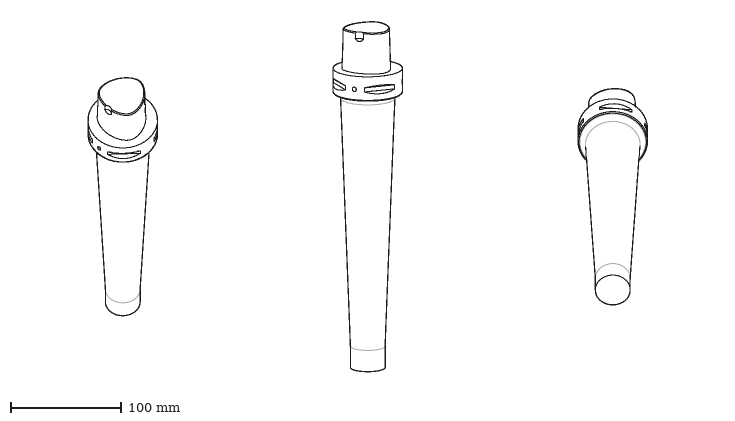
import cadquery as cq
import math

total_length = 318.0
shank_length = 38.0
flange_diameter = 63.0
flange_thickness = 23.0
flange_top = total_length - shank_length
flange_bottom = flange_top - flange_thickness

shank_base_diameter = 44.1
shank_taper = 1 / 20
lobe_height = 1.4
shank_edge_chamfer = 1.0
outline_points = 48

flange_bottom_chamfer = 1.0
neck_top_diameter = 49.5
neck_fillet_radius = 5.0
tip_diameter = 31.7
tip_length = 20.0

gripper_height = 267.7
slot_count = 4
slot_first_angle = 45.0
slot_floor_distance = 27.8
slot_floor_width = 3.8
slot_side_angle = 30.0
slot_overrun = 1.0
mark_diameter = 4.0
mark_depth = mark_diameter / 2

notch_diameter = 10.0
notch_axis_distance = 22.5
notch_depth = 6.1
notch_cone_height = notch_diameter / 2


def shank_section(diameter, height):
    """Closed three-lobed outline of constant width, with one lobe toward +Y.

    Offsetting it only changes its diameter, so tapered sections share this formula.
    """
    radius = diameter / 2
    points = []
    for step in range(outline_points):
        angle = 2 * math.pi * step / outline_points
        along_lobe = radius * math.cos(angle) + lobe_height * (2 * math.cos(2 * angle) - math.cos(4 * angle))
        across_lobe = radius * math.sin(angle) - lobe_height * (2 * math.sin(2 * angle) + math.sin(4 * angle))
        points.append(cq.Vector(-across_lobe, along_lobe, height))
    return cq.Wire.assembleEdges([cq.Edge.makeSpline(points, periodic=True)])


def polygon_shank():
    """Tapered shank with its top edge chamfered, as ruled sections."""
    chamfer_start = total_length - shank_edge_chamfer
    chamfer_diameter = shank_base_diameter - shank_taper * (chamfer_start - flange_top)
    top_diameter = chamfer_diameter - 2 * shank_edge_chamfer
    sections = [
        shank_section(shank_base_diameter, flange_top),
        shank_section(chamfer_diameter, chamfer_start),
        shank_section(top_diameter, total_length),
    ]
    return cq.Workplane(cq.Solid.makeLoft(sections, True))


def flange_and_neck():
    """Turned body: straight tip, tapered neck, fillet and flange with a chamfered lower edge."""
    flange_radius = flange_diameter / 2
    neck_radius = neck_top_diameter / 2
    fillet_bottom = flange_bottom - neck_fillet_radius
    fillet_center = (neck_radius + neck_fillet_radius, fillet_bottom)
    fillet_reach = neck_fillet_radius * math.sqrt(0.5)
    fillet_middle = (fillet_center[0] - fillet_reach, fillet_center[1] + fillet_reach)
    return (
        cq.Workplane("XZ")
        .lineTo(tip_diameter / 2, 0)
        .lineTo(tip_diameter / 2, tip_length)
        .lineTo(neck_radius, fillet_bottom)
        .threePointArc(fillet_middle, (fillet_center[0], flange_bottom))
        .lineTo(flange_radius - flange_bottom_chamfer, flange_bottom)
        .lineTo(flange_radius, flange_bottom + flange_bottom_chamfer)
        .lineTo(flange_radius, flange_top)
        .lineTo(0, flange_top)
        .close()
        .revolve(360, (0, 0, 0), (0, 1, 0))
    )


def gripper_slot(angle):
    """Straight slot across the flange, opening outward from a flat floor."""
    outer_distance = flange_diameter / 2 + slot_overrun
    half_floor = slot_floor_width / 2
    half_mouth = half_floor + (outer_distance - slot_floor_distance) * math.tan(math.radians(slot_side_angle))
    return (
        cq.Workplane("XZ")
        .moveTo(slot_floor_distance, gripper_height - half_floor)
        .lineTo(outer_distance, gripper_height - half_mouth)
        .lineTo(outer_distance, gripper_height + half_mouth)
        .lineTo(slot_floor_distance, gripper_height + half_floor)
        .close()
        .extrude(flange_diameter / 2, both=True)
        .rotate((0, 0, 0), (0, 0, 1), angle)
    )


def conical_mark():
    """Conical dimple in the -Y side of the flange."""
    surface = cq.Vector(0, -flange_diameter / 2, gripper_height)
    inward = cq.Vector(0, 1, 0)
    return cq.Workplane(cq.Solid.makeCone(mark_diameter / 2, 0, mark_depth, surface, inward))


def shank_notch():
    """Vertical round notch with a conical bottom, open toward -Y and the top."""
    cone_tip = total_length - notch_depth - notch_cone_height
    return (
        cq.Workplane("XZ", origin=(0, -notch_axis_distance, 0))
        .moveTo(0, cone_tip)
        .lineTo(notch_diameter / 2, cone_tip + notch_cone_height)
        .lineTo(notch_diameter / 2, total_length)
        .lineTo(0, total_length)
        .close()
        .revolve(360, (0, 0, 0), (0, 1, 0))
    )


result = flange_and_neck().union(polygon_shank())
for slot in range(slot_count):
    result = result.cut(gripper_slot(slot_first_angle + slot * 360 / slot_count))
result = result.cut(conical_mark()).cut(shank_notch())